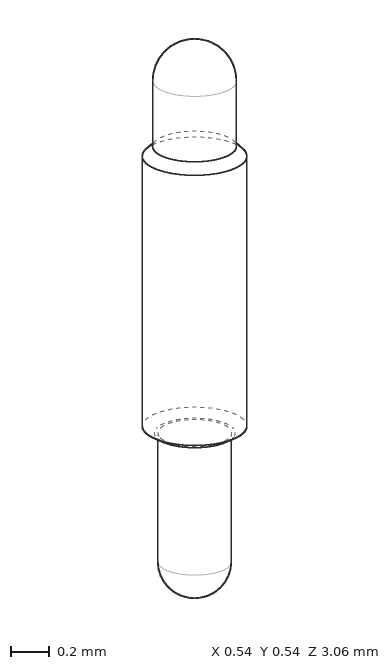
import cadquery as cq
import math

total_length = 3.06
body_diameter = 0.54
plunger_diameter = 0.43
tail_diameter = 0.38
body_bottom = 0.9
body_top = 2.482
bottom_chamfer_height = 0.037
bottom_chamfer_width = 0.06

body_radius = body_diameter / 2
plunger_radius = plunger_diameter / 2
tail_radius = tail_diameter / 2

top_chamfer = body_radius - plunger_radius

tail_dome_edge = tail_radius
plunger_dome_edge = total_length - plunger_radius
diagonal = math.sqrt(0.5)
tail_arc_middle = (tail_radius * diagonal, tail_dome_edge - tail_radius * diagonal)
plunger_arc_middle = (plunger_radius * diagonal, plunger_dome_edge + plunger_radius * diagonal)

profile = (
    cq.Workplane("XZ")
    .moveTo(0, 0)
    .threePointArc(tail_arc_middle, (tail_radius, tail_dome_edge))
    .lineTo(tail_radius, body_bottom)
    .lineTo(body_radius - bottom_chamfer_width, body_bottom)
    .lineTo(body_radius, body_bottom + bottom_chamfer_height)
    .lineTo(body_radius, body_top - top_chamfer)
    .lineTo(plunger_radius, body_top)
    .lineTo(plunger_radius, plunger_dome_edge)
    .threePointArc(plunger_arc_middle, (0, total_length))
    .close()
)

result = profile.revolve(360, (0, 0, 0), (0, 1, 0))